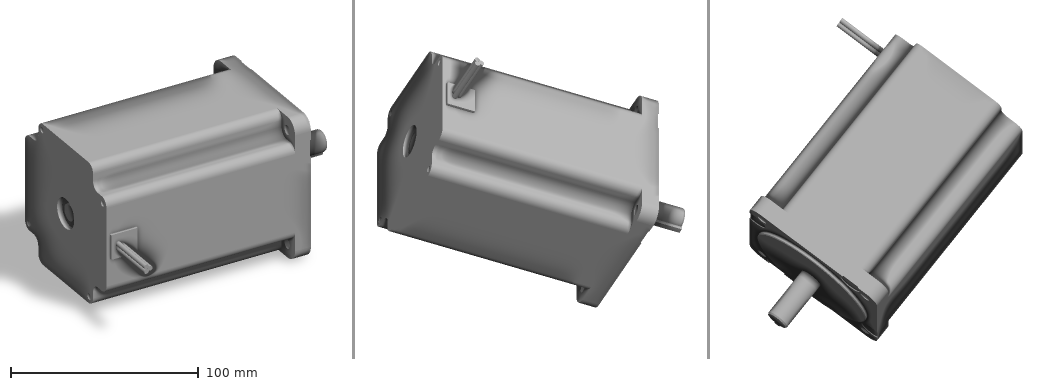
import cadquery as cq
import math


body_width = 86.0
body_length = 126.5
flange_thickness = 9.8
flange_corner_radius = 7.6
notch_size = 14.1
notch_radius = 4.9

mount_hole_pitch = 69.5
mount_hole_diameter = 5.7
screw_hole_diameter = 3.5
screw_hole_depth = 3.5
screw_far_offset = 39.0
screw_near_offset = 24.8
spot_face_diameter = 13.0
spot_face_depth = 0.5

pilot_diameter = 73.0
pilot_height = 2.0
pilot_chamfer = 0.5
total_length = 158.2
shaft_diameter = 12.7
shaft_chamfer_length = 1.0
shaft_chamfer_depth = 0.5
key_width = 3.2
key_reach = 7.9

recess_diameter = 18.0
recess_depth = 3.2
shaft_end_diameter = 9.8
shaft_end_height = 1.1

outlet_thickness = 1.6
outlet_length = 16.3
outlet_height = 15.0
outlet_rear_gap = 2.0
cable_length = 29.9
wire_diameter = 2.8
wire_pitch = 2.7
wire_rear_gap = 4.9

half_width = body_width / 2
rear_y = -body_length
shaft_length = total_length - body_length


def plane_at(y):
    """Workplane facing +Y at the given y; its local x runs along -X and its local y along Z."""
    return cq.Workplane(cq.Plane(origin=(0, y, 0), xDir=(-1, 0, 0), normal=(0, 1, 0)))


def corner_notch(x_sign, z_sign):
    """Cutter for one corner of the body: concave inside, with rounded lips running into the sides."""
    inner = half_width - notch_size
    lip = inner - notch_radius
    bend = inner + notch_radius
    lip_end = half_width - notch_radius
    diagonal = notch_radius * math.sqrt(0.5)

    def at(x, z):
        return (x_sign * x, z_sign * z)

    return (
        plane_at(rear_y)
        .moveTo(*at(lip, half_width))
        .threePointArc(at(lip + diagonal, lip_end + diagonal), at(inner, lip_end))
        .lineTo(*at(inner, bend))
        .threePointArc(at(bend - diagonal, bend - diagonal), at(bend, inner))
        .lineTo(*at(lip_end, inner))
        .threePointArc(at(lip_end + diagonal, lip + diagonal), at(half_width, lip))
        .lineTo(*at(half_width, half_width))
        .close()
        .extrude(body_length - flange_thickness)
    )


def make_body():
    """Square body with rounded flange corners, notched behind the flange."""
    body = (
        plane_at(rear_y)
        .rect(body_width, body_width)
        .extrude(body_length)
        .edges("|Y")
        .fillet(flange_corner_radius)
    )
    for x_sign in (-1, 1):
        for z_sign in (-1, 1):
            body = body.cut(corner_notch(x_sign, z_sign))
    return body


def mount_holes():
    return (
        plane_at(-flange_thickness)
        .rect(mount_hole_pitch, mount_hole_pitch, forConstruction=True)
        .vertices()
        .circle(mount_hole_diameter / 2)
        .extrude(flange_thickness)
    )


def screw_centers():
    """Four screw axes, each a quarter turn from the last."""
    far, near = screw_far_offset, screw_near_offset
    return [(near, far), (-far, near), (-near, -far), (far, -near)]


def screw_holes():
    """Blind holes in the rear face."""
    return (
        plane_at(rear_y)
        .pushPoints(screw_centers())
        .circle(screw_hole_diameter / 2)
        .extrude(screw_hole_depth)
    )


def spot_faces():
    """Shallow seats on the mounting face, in line with the screws and open at the flange sides."""
    return (
        plane_at(-spot_face_depth)
        .pushPoints(screw_centers())
        .circle(spot_face_diameter / 2)
        .extrude(spot_face_depth)
    )


def rear_recess():
    """Ring-shaped pocket whose middle, the rear shaft end, stands up from the floor."""
    pocket = plane_at(rear_y).circle(recess_diameter / 2).extrude(recess_depth)
    shaft_end = (
        plane_at(rear_y + recess_depth - shaft_end_height)
        .circle(shaft_end_diameter / 2)
        .extrude(shaft_end_height)
    )
    return pocket.cut(shaft_end)


def pilot_boss():
    pilot = plane_at(0).circle(pilot_diameter / 2).extrude(pilot_height)
    return pilot.faces(">Y").chamfer(pilot_chamfer)


def shaft_with_key():
    """Round shaft with a chamfered tip and a key along its -Z side."""
    shaft = (
        plane_at(0)
        .circle(shaft_diameter / 2)
        .extrude(shaft_length)
        .faces(">Y")
        .chamfer(shaft_chamfer_length, shaft_chamfer_depth)
    )
    key = plane_at(0).center(0, -key_reach / 2).rect(key_width, key_reach).extrude(shaft_length)
    return shaft.union(key)


def cable_outlet():
    """Outlet plate with three bonded wires: two stacked along Z and one nested between them."""
    outlet = cq.Workplane("XY", origin=(half_width, rear_y + outlet_rear_gap, 0)).box(
        outlet_thickness, outlet_length, outlet_height, centered=(False, False, True)
    )
    pair_y = rear_y + wire_rear_gap + wire_diameter / 2
    nested_y = pair_y + wire_pitch * math.sqrt(0.75)
    centers = [(pair_y, -wire_pitch / 2), (pair_y, wire_pitch / 2), (nested_y, 0)]
    for center in centers:
        wire = (
            cq.Workplane("YZ", origin=(half_width, 0, 0))
            .center(*center)
            .circle(wire_diameter / 2)
            .extrude(outlet_thickness + cable_length)
        )
        outlet = outlet.union(wire)
    return outlet


result = (
    make_body()
    .cut(mount_holes())
    .cut(screw_holes())
    .cut(spot_faces())
    .cut(rear_recess())
    .union(pilot_boss())
    .union(shaft_with_key())
    .union(cable_outlet())
)